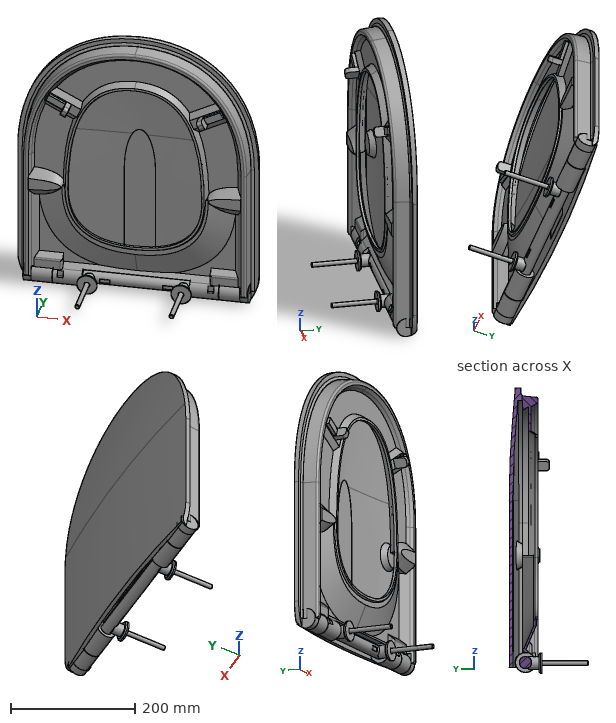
import cadquery as cq
import math


LID_WIDTH = 397.0
LID_HALF_WIDTH = LID_WIDTH / 2
LID_TOP = 443.5
SHOULDER_Z = 225.5
LID_FULLNESS = 0.6
OVAL_Z = 170.0
OVAL_FULLNESS = 0.67
FAR_BELOW = -46.0

CROWN_Y = 47.0
CROWN_RADIUS = 1679.0
CROWN_CENTER_Z = 262.0
LID_THICKNESS = 7.0
RIM_Y = 27.5
LID_BOTTOM = -7.5
CORNER_BOTTOM = -14.5
CORNER_START_Z = 27.5
SKIRT_TOP_INSET = 7.5
SKIRT_BASE_INSET = 12.0
HOLLOW_INSET = 20.5
PANEL_HALF_WIDTH = 25.8
PANEL_BOTTOM = 18.5
PANEL_ARCH_Z = 198.0
PANEL_TOP = 270.5
PANEL_DEPTH = 0.5
PAD_X = 147.0
PAD_ROOT_Y = 37.0
PAD_RADIUS = 25.5
PAD_TIP_RADIUS = 18.5

SEAT_TOP_Y = 25.5
SEAT_TOP_INSET = 12.5
SEAT_BASE_INSET = 15.0
SEAT_EDGE_FILLET = 3.5
PLATE_FLOOR_Y = 21.0
RING_FLOOR_Y = 11.0
SHELL_THICKNESS = 4.5
POCKET_BASE_INSET = 23.5
POCKET_COVE_INSET = 27.5
POCKET_FLOOR_INSET = 37.0
POCKET_COVE_Y = 5.5
PLATE_BOTTOM = 16.5
BOWL_HALF_WIDTH = 163.5
BOWL_BOTTOM = 17.0
BOWL_LIP_Y = 2.8
LIP_HALF_WIDTH, LIP_BOTTOM, LIP_TOP = 120.5, 60.3, 376.5
OPENING_HALF_WIDTH, OPENING_BOTTOM, OPENING_TOP = 110.5, 75.0, 363.5
LIP_FLARE = 4.5
LIP_LAND = 4.0

SIDE_RIB_Z = 173.5
SIDE_RIB_ROOT_X = 172.0
SIDE_RIB_BASE = (54.7, 25.5)
SIDE_RIB_CREST = (50.5, 10.0)
SIDE_RIB_Y = -2.8
RIB_X, RIB_Z = 126.0, 326.0
RIB_ANGLE = 27.0
RIB_LENGTH = 119.5
RIB_BASE_WIDTH = 37.0
RIB_CREST_WIDTH = 16.5
RIB_Y = 3.5
BUFFER_LENGTH = 39.5
BUFFER_WIDTH = 12.0
BUFFER_FOOT_HEIGHT = 5.5
BUFFER_TIP_Y = -18.5
BUFFER_TOE_LENGTH = 9.0
BUFFER_TOE_WIDTH = 16.5
BUFFER_FILLET = 5.5

HINGE_Y, HINGE_Z = 20.2, 1.0
KNUCKLE_DIAMETER = 32.0
BAR_DIAMETER = 20.0
KNUCKLE_INNER_X = 88.5
KNUCKLE_SPLIT_X = 136.5
KNUCKLE_OUTER_X = 172.0
CHEEK_OUTER_X = 185.5
HINGE_GAP = 1.0
WEB_TOP_Z = 24.0
WEB_TANGENT_Z = 9.0
COVER_INNER_X = 121.5
COVER_TOP_Z = 39.5
COVER_CREST_Z = 30.5
COVER_Y = 10.0
COVER_FILLET = 3.5
STOP_NOTCH_X = (119.0, 129.0)
STOP_NOTCH_Z = (2.8, 23.0)
STOP_NOTCH_Y = 9.0
BAR_SLOT_X = 52.0
BAR_SLOT_LENGTH = 16.5
BAR_SLOT_WIDTH = 7.0
BAR_SLOT_DEPTH = 2.5

BOLT_SPACING = 155.0
BOLT_X = BOLT_SPACING / 2
BOLT_DIAMETER = 8.0
BOLT_END_Y = -81.0
BOLT_CHAMFER = 1.0
FLANGE_DIAMETER = 33.0
FLANGE_FACE_Y = -6.5
FLANGE_TOP_Y = -1.5
FLANGE_CHAMFER = 2.5
STEM_DIAMETER = 21.0
FLANGE_HOLE_DIAMETER = 9.5


def plan_plane(y):
    """Sketch plane at height y: local axes are X and Z, and extrusions run toward -Y."""
    return cq.Workplane("XZ", origin=(0, y, 0))


def d_sketch(y, inset, bottom, bottom_half_width=None):
    """D outline set in from the lid edge, with a straight lower end."""
    half = LID_HALF_WIDTH - inset
    top = LID_TOP - inset
    handle_z = SHOULDER_Z + LID_FULLNESS * (top - SHOULDER_Z)
    handle_x = LID_FULLNESS * half
    foot = half if bottom_half_width is None else bottom_half_width
    corner_z = (bottom + CORNER_START_Z) / 2
    sketch = plan_plane(y).moveTo(-foot, bottom)
    if foot < half:
        sketch = sketch.bezier([(-foot, bottom), (-half, corner_z), (-half, CORNER_START_Z)])
    sketch = sketch.lineTo(-half, SHOULDER_Z)
    sketch = sketch.bezier([(-half, SHOULDER_Z), (-half, handle_z), (-handle_x, top), (0, top)])
    sketch = sketch.bezier([(0, top), (handle_x, top), (half, handle_z), (half, SHOULDER_Z)])
    if foot < half:
        sketch = sketch.lineTo(half, CORNER_START_Z)
        sketch = sketch.bezier([(half, CORNER_START_Z), (half, corner_z), (foot, bottom)])
    else:
        sketch = sketch.lineTo(half, bottom)
    return sketch.close()


def oval_sketch(y, half, bottom, top):
    """Egg-shaped outline, widest at OVAL_Z."""
    up = OVAL_Z + OVAL_FULLNESS * (top - OVAL_Z)
    down = OVAL_Z - OVAL_FULLNESS * (OVAL_Z - bottom)
    side = OVAL_FULLNESS * half
    return (
        plan_plane(y)
        .moveTo(-half, OVAL_Z)
        .bezier([(-half, OVAL_Z), (-half, up), (-side, top), (0, top)])
        .bezier([(0, top), (side, top), (half, up), (half, OVAL_Z)])
        .bezier([(half, OVAL_Z), (half, down), (side, bottom), (0, bottom)])
        .bezier([(0, bottom), (-side, bottom), (-half, down), (-half, OVAL_Z)])
        .close()
    )


def loft_between(first, second):
    """Straight-walled solid between two closed sketches."""
    wires = [first.wires().val(), second.wires().val()]
    return cq.Workplane(cq.Solid.makeLoft(wires, True))


def x_cylinder(diameter, x_from, x_to):
    """Cylinder on the hinge axis."""
    plane = cq.Workplane("YZ", origin=(x_from, HINGE_Y, HINGE_Z))
    return plane.circle(diameter / 2).extrude(x_to - x_from)


def box_between(x_from, x_to, y_from, y_to, z_from, z_to):
    size = (x_to - x_from, y_to - y_from, z_to - z_from)
    return cq.Workplane().box(*size, centered=False).translate((x_from, y_from, z_from))


def both_sides(right_part):
    """A +X part and its mirror image, as a list of two."""
    return [right_part, right_part.mirror("YZ")]


def crown(offset):
    """Cylinder and sphere of the crown surface, moved inward by the offset."""
    radius = CROWN_RADIUS - offset
    center_y = CROWN_Y - CROWN_RADIUS
    depth = CROWN_CENTER_Z - FAR_BELOW
    barrel = cq.Workplane("XY", origin=(0, center_y, FAR_BELOW)).circle(radius).extrude(depth)
    ball = cq.Workplane().sphere(radius).translate((0, center_y, CROWN_CENTER_Z))
    return barrel, ball


def under_crown(block, offset):
    """Trim a block to the space below the crown surface, moved inward by the offset."""
    barrel, ball = crown(offset)
    reach = 2 * LID_TOP
    below = box_between(-reach, reach, -reach, reach, -reach, CROWN_CENTER_Z)
    above = box_between(-reach, reach, -reach, reach, CROWN_CENTER_Z, reach)
    return block.intersect(below).intersect(barrel).union(block.intersect(above).intersect(ball))


def make_lid():
    plan = d_sketch(CROWN_Y, 0, CORNER_BOTTOM, CHEEK_OUTER_X).extrude(CROWN_Y - RIM_Y)
    lid = under_crown(plan, 0)
    skirt = loft_between(
        d_sketch(RIM_Y, SKIRT_TOP_INSET, HINGE_Z), d_sketch(SEAT_TOP_Y, SKIRT_BASE_INSET, HINGE_Z)
    )
    lid = lid.union(skirt)
    half = CHEEK_OUTER_X
    lid = lid.cut(box_between(-half, half, 0, CROWN_Y, FAR_BELOW, LID_BOTTOM))
    corner = box_between(half, LID_HALF_WIDTH, 0, CROWN_Y, FAR_BELOW, HINGE_Z)
    corner = corner.cut(x_cylinder(KNUCKLE_DIAMETER, half, LID_HALF_WIDTH))
    for part in both_sides(corner):
        lid = lid.cut(part)
    hollow = d_sketch(CROWN_Y, HOLLOW_INSET, FAR_BELOW).extrude(CROWN_Y - SEAT_TOP_Y)
    lid = lid.cut(under_crown(hollow, LID_THICKNESS))
    pad = (
        plan_plane(PAD_ROOT_Y)
        .center(PAD_X, SIDE_RIB_Z)
        .circle(PAD_RADIUS)
        .workplane(offset=PAD_ROOT_Y - SEAT_TOP_Y)
        .circle(PAD_TIP_RADIUS)
        .loft()
    )
    for part in both_sides(pad):
        lid = lid.union(part)
    panel_y = CROWN_Y - LID_THICKNESS + PANEL_DEPTH
    panel = (
        plan_plane(panel_y)
        .moveTo(-PANEL_HALF_WIDTH, PANEL_BOTTOM)
        .lineTo(-PANEL_HALF_WIDTH, PANEL_ARCH_Z)
        .ellipseArc(PANEL_HALF_WIDTH, PANEL_TOP - PANEL_ARCH_Z, 0, 180, sense=-1)
        .lineTo(PANEL_HALF_WIDTH, PANEL_BOTTOM)
        .close()
        .extrude(panel_y - SEAT_TOP_Y)
    )
    lid = lid.cut(panel)
    clearance = KNUCKLE_DIAMETER + 2 * HINGE_GAP
    inner_x = KNUCKLE_SPLIT_X + HINGE_GAP
    lid = lid.cut(x_cylinder(clearance, -inner_x, inner_x))
    for side in (-1, 1):
        ends = sorted((side * KNUCKLE_OUTER_X, side * CHEEK_OUTER_X))
        lid = lid.cut(x_cylinder(KNUCKLE_DIAMETER, *ends))
    knuckle = x_cylinder(KNUCKLE_DIAMETER, inner_x, KNUCKLE_OUTER_X)
    for part in both_sides(knuckle):
        lid = lid.union(part)
    return lid


def pocket_space():
    """Room inside the outer wall, from below the crests up to the plate."""
    cove = d_sketch(POCKET_COVE_Y, POCKET_COVE_INSET, FAR_BELOW)
    flared = loft_between(d_sketch(PLATE_FLOOR_Y, POCKET_FLOOR_INSET, FAR_BELOW), cove)
    drafted = loft_between(cove, d_sketch(0, POCKET_BASE_INSET, FAR_BELOW))
    below = d_sketch(0, POCKET_BASE_INSET, FAR_BELOW).extrude(-SIDE_RIB_Y)
    return flared.union(drafted).union(below)


def ring_lip():
    """Raised border of the opening."""
    land = LIP_LAND
    return loft_between(
        oval_sketch(PLATE_FLOOR_Y, LIP_HALF_WIDTH + LIP_FLARE, LIP_BOTTOM - LIP_FLARE, LIP_TOP + LIP_FLARE),
        oval_sketch(0, OPENING_HALF_WIDTH + land, OPENING_BOTTOM - land, OPENING_TOP + land),
    )


def rear_bowl():
    """Sloping underside behind the opening."""
    cone = loft_between(
        oval_sketch(PLATE_FLOOR_Y, BOWL_HALF_WIDTH, BOWL_BOTTOM, LID_TOP),
        oval_sketch(BOWL_LIP_Y, LIP_HALF_WIDTH, LIP_BOTTOM, LIP_TOP),
    )
    rear = box_between(-LID_HALF_WIDTH, LID_HALF_WIDTH, 0, PLATE_FLOOR_Y, FAR_BELOW, SIDE_RIB_Z)
    return cone.intersect(rear)


def side_rib():
    base = plan_plane(RING_FLOOR_Y).center(SIDE_RIB_ROOT_X, SIDE_RIB_Z).ellipse(*SIDE_RIB_BASE)
    crest = plan_plane(SIDE_RIB_Y).center(SIDE_RIB_ROOT_X, SIDE_RIB_Z).ellipse(*SIDE_RIB_CREST)
    return loft_between(base, crest).union(base.extrude(RING_FLOOR_Y - PLATE_FLOOR_Y))


def place_on_rib(part):
    """Turn a part built along X at the origin and move it to the right-hand front rib."""
    return part.rotate((0, 0, 0), (0, 1, 0), -RIB_ANGLE).translate((RIB_X, 0, RIB_Z))


def front_rib():
    half_base = RIB_BASE_WIDTH / 2
    half_crest = RIB_CREST_WIDTH / 2
    section = [
        (PLATE_FLOOR_Y, -half_base),
        (RING_FLOOR_Y, -half_base),
        (RIB_Y, -half_crest),
        (RIB_Y, half_crest),
        (RING_FLOOR_Y, half_base),
        (PLATE_FLOOR_Y, half_base),
    ]
    bar = cq.Workplane("YZ").polyline(section).close().extrude(RIB_LENGTH / 2, both=True)
    return place_on_rib(bar)


def knuckle_web():
    """Sloping rear edge of the plate, tangent to the seat knuckles."""
    radius = KNUCKLE_DIAMETER / 2
    tangent_y = HINGE_Y - math.sqrt(radius**2 - (WEB_TANGENT_Z - HINGE_Z) ** 2)
    section = [
        (HINGE_Y, HINGE_Z),
        (tangent_y, WEB_TANGENT_Z),
        (PLATE_FLOOR_Y, WEB_TOP_Z),
        (SEAT_TOP_Y, WEB_TOP_Z),
    ]
    web = cq.Workplane("YZ").polyline(section).close().extrude(KNUCKLE_SPLIT_X, both=True)
    half = KNUCKLE_INNER_X
    return web.cut(box_between(-half, half, 0, SEAT_TOP_Y, 0, PLATE_BOTTOM))


def knuckle_cover():
    """Raised corner of the seat over the lid knuckle."""
    section = [
        (SEAT_TOP_Y, HINGE_Z),
        (COVER_Y, HINGE_Z),
        (COVER_Y, COVER_CREST_Z),
        (PLATE_FLOOR_Y, COVER_TOP_Z),
        (SEAT_TOP_Y, COVER_TOP_Z),
    ]
    plane = cq.Workplane("YZ", origin=(COVER_INNER_X, 0, 0))
    cover = plane.polyline(section).close().extrude(KNUCKLE_OUTER_X - COVER_INNER_X)
    return cover.faces("<Y").edges(">Z or <X").fillet(COVER_FILLET)


def make_seat():
    seat = loft_between(
        d_sketch(SEAT_TOP_Y, SEAT_TOP_INSET, HINGE_Z),
        d_sketch(0, SEAT_BASE_INSET, HINGE_Z),
    )
    seat = seat.faces("<Y").edges().fillet(SEAT_EDGE_FILLET)
    pocket = pocket_space()
    seat = seat.cut(pocket)
    half = KNUCKLE_OUTER_X
    seat = seat.cut(box_between(-half, half, 0, SEAT_TOP_Y, FAR_BELOW, PLATE_BOTTOM))

    ring_floor = pocket.intersect(
        box_between(-LID_HALF_WIDTH, LID_HALF_WIDTH, RING_FLOOR_Y, PLATE_FLOOR_Y, SIDE_RIB_Z, LID_TOP)
    )
    ring = ring_floor.union(rear_bowl()).union(ring_lip())
    seat = seat.union(ring)
    for rib in both_sides(side_rib()) + both_sides(front_rib()):
        seat = seat.union(rib.intersect(pocket))
    seat = seat.cut(ring.translate((0, SHELL_THICKNESS, 0)))
    opening = oval_sketch(SEAT_TOP_Y, OPENING_HALF_WIDTH, OPENING_BOTTOM, OPENING_TOP)
    seat = seat.cut(opening.extrude(SEAT_TOP_Y - SIDE_RIB_Y))

    cheek = x_cylinder(KNUCKLE_DIAMETER, KNUCKLE_OUTER_X, CHEEK_OUTER_X)
    knuckle = x_cylinder(KNUCKLE_DIAMETER, KNUCKLE_INNER_X, KNUCKLE_SPLIT_X)
    notch = box_between(*STOP_NOTCH_X, 0, STOP_NOTCH_Y, *STOP_NOTCH_Z)
    clearance = x_cylinder(KNUCKLE_DIAMETER + 2 * HINGE_GAP, KNUCKLE_SPLIT_X, KNUCKLE_OUTER_X)
    seat = seat.union(knuckle_web())
    for part in both_sides(cheek) + both_sides(knuckle_cover()) + both_sides(knuckle):
        seat = seat.union(part)
    for part in both_sides(notch) + both_sides(clearance):
        seat = seat.cut(part)
    return seat


def make_buffer():
    """L-shaped stop: a foot along the rib and a toe at its inner end."""
    half = BUFFER_LENGTH / 2
    foot_half = BUFFER_WIDTH / 2
    foot = box_between(-half, half, RIB_Y - BUFFER_FOOT_HEIGHT, RIB_Y, -foot_half, foot_half)
    toe_half = BUFFER_TOE_WIDTH / 2
    toe = box_between(-half, -half + BUFFER_TOE_LENGTH, BUFFER_TIP_Y, RIB_Y, -toe_half, toe_half)
    toe = toe.faces("<Y").edges("|X").fillet(BUFFER_FILLET)
    return place_on_rib(foot.union(toe))


def make_bar():
    bar = x_cylinder(BAR_DIAMETER, -KNUCKLE_INNER_X, KNUCKLE_INNER_X)
    floor_y = HINGE_Y - BAR_DIAMETER / 2 + BAR_SLOT_DEPTH
    slots = (
        plan_plane(floor_y)
        .pushPoints([(-BAR_SLOT_X, 0), (BAR_SLOT_X, 0)])
        .rect(BAR_SLOT_LENGTH, BAR_SLOT_WIDTH)
        .extrude(BAR_DIAMETER)
    )
    bar = bar.cut(slots)
    for side in (-1, 1):
        bar = bar.cut(make_bolt(side))
    return bar


def make_flange(side):
    """Chamfered disc with a stem that is saddled on the bar."""
    disc = (
        plan_plane(FLANGE_TOP_Y)
        .center(side * BOLT_X, 0)
        .circle(FLANGE_DIAMETER / 2)
        .extrude(FLANGE_TOP_Y - FLANGE_FACE_Y)
        .faces(">Y")
        .chamfer(FLANGE_CHAMFER)
    )
    stem_top_y = HINGE_Y - BAR_DIAMETER / 4
    stem = (
        plan_plane(stem_top_y)
        .center(side * BOLT_X, 0)
        .circle(STEM_DIAMETER / 2)
        .extrude(stem_top_y - FLANGE_TOP_Y)
    )
    hole = (
        plan_plane(HINGE_Y)
        .center(side * BOLT_X, 0)
        .circle(FLANGE_HOLE_DIAMETER / 2)
        .extrude(HINGE_Y - FLANGE_FACE_Y)
    )
    saddle = x_cylinder(BAR_DIAMETER, -KNUCKLE_INNER_X, KNUCKLE_INNER_X)
    return disc.union(stem).cut(hole).cut(saddle)


def make_bolt(side):
    """Plain shank from the middle of the bar, chamfered at its free end."""
    shank = (
        plan_plane(HINGE_Y)
        .center(side * BOLT_X, 0)
        .circle(BOLT_DIAMETER / 2)
        .extrude(HINGE_Y - BOLT_END_Y)
    )
    return shank.faces("<Y").chamfer(BOLT_CHAMFER)


lid = make_lid()
seat = make_seat()
buffers = both_sides(make_buffer())
bar = make_bar()
flanges = [make_flange(side) for side in (-1, 1)]
bolts = [make_bolt(side) for side in (-1, 1)]

result = cq.Compound.makeCompound(
    [
        lid.val(),
        seat.val(),
        *[part.val() for part in buffers],
        bar.val(),
        *[part.val() for part in flanges],
        *[part.val() for part in bolts],
    ]
)